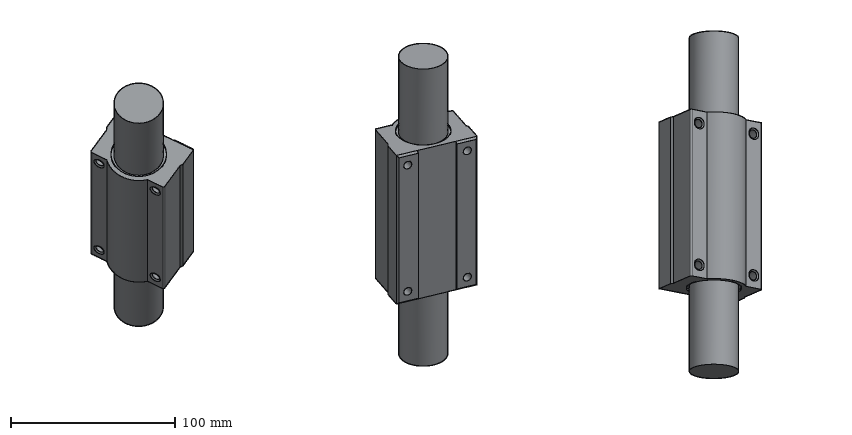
import cadquery as cq
import math

shaft_length = 212.0
shaft_diameter = 30.0

housing_length = 106.0
housing_width = 54.0
front_width = 52.2
back_y = 21.0
front_y = -13.8
barrel_radius = 20.0
shoulder_back_y = 7.2
shoulder_front_y = 5.3
corner_radius = 1.0

pad_height = 1.3
channel_width = 25.7

recess_diameter = 33.7
recess_depth = 1.3

hole_diameter = 5.3
countersink_diameter = 7.2
hole_spacing_x = 39.9
hole_spacing_z = 90.0


def housing_body():
    """Extruded housing profile with rounded front corners and a bevelled mounting face."""
    half_width = housing_width / 2
    half_front = front_width / 2
    barrel_half_chord = math.sqrt(barrel_radius**2 - front_y**2)
    body = (
        cq.Workplane("XY")
        .workplane(offset=-housing_length / 2)
        .moveTo(-half_width, back_y)
        .lineTo(half_width, back_y)
        .lineTo(half_width, shoulder_back_y)
        .lineTo(half_front, shoulder_front_y)
        .lineTo(half_front, front_y)
        .lineTo(barrel_half_chord, front_y)
        .threePointArc((0, -barrel_radius), (-barrel_half_chord, front_y))
        .lineTo(-half_front, front_y)
        .lineTo(-half_front, shoulder_front_y)
        .lineTo(-half_width, shoulder_back_y)
        .close()
        .extrude(housing_length)
    )
    front_corners = cq.selectors.BoxSelector(
        (-half_width, front_y - corner_radius, -housing_length),
        (half_width, front_y + corner_radius, housing_length),
    )
    outer_front_edges = body.edges("|Z").edges(front_corners).edges("<X or >X")
    body = outer_front_edges.fillet(corner_radius)
    return body.faces(">Y").chamfer(pad_height)


def mounting_channel():
    """Shallow full-length channel that splits the mounting face into two pads."""
    channel = cq.Workplane("XY").box(channel_width, pad_height, housing_length)
    return channel.translate((0, back_y - pad_height / 2, 0))


def end_recess(end):
    """Disc cut into the housing end; the shaft fills its centre. end is +1 or -1."""
    return (
        cq.Workplane("XY")
        .workplane(offset=end * housing_length / 2)
        .circle(recess_diameter / 2)
        .extrude(-end * recess_depth)
    )


def mounting_hole(x, z):
    """Hole along Y through the housing, with a 90 degree countersink in the front face."""
    hole_radius = hole_diameter / 2
    countersink_radius = countersink_diameter / 2
    countersink_depth = countersink_radius - hole_radius
    profile = (
        cq.Workplane("XY")
        .moveTo(0, front_y)
        .lineTo(countersink_radius, front_y)
        .lineTo(hole_radius, front_y + countersink_depth)
        .lineTo(hole_radius, back_y)
        .lineTo(0, back_y)
        .close()
    )
    return profile.revolve(360, (0, 0, 0), (0, 1, 0)).translate((x, 0, z))


housing = housing_body().cut(mounting_channel())
for side in (-1, 1):
    housing = housing.cut(end_recess(side))
    for end in (-1, 1):
        housing = housing.cut(mounting_hole(side * hole_spacing_x / 2, end * hole_spacing_z / 2))

shaft = cq.Workplane("XY").circle(shaft_diameter / 2).extrude(shaft_length / 2, both=True)

result = housing.union(shaft)